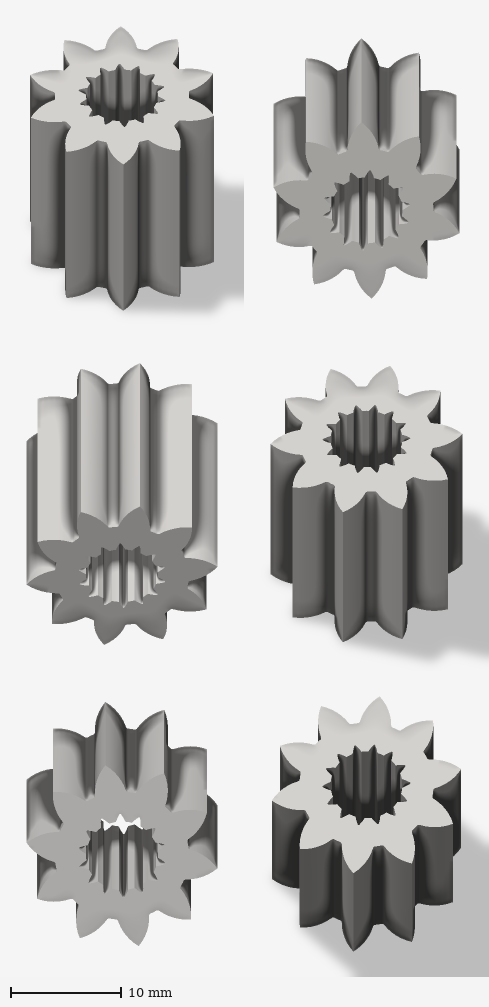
import cadquery as cq
import math

length = 19.05

tooth_count = 10
tip_radius = 8.72
root_radius = 6.08
flank_mid = (7.56, 0.93)
tooth_foot_half_width = 1.45
root_fillet = 0.23

groove_count = 14
bore_radius = 3.25
groove_tip_radius = 3.98
groove_foot_half_width = 0.42
groove_flank_mid = (3.62, 0.257)
groove_shoulder = (3.9, 0.1)

overlap = 0.2
selection_tolerance = 0.002


def foot_distance(radius, half_width):
    """Distance along the axis at which a half width meets a base circle."""
    return math.sqrt(radius**2 - half_width**2)


def around_axis(solid, count, first_angle):
    """Combine equally spaced copies of a solid about Z."""
    combined = cq.Workplane("XY")
    for index in range(count):
        angle = first_angle + index * 360.0 / count
        combined = combined.add(solid.rotate((0, 0, 0), (0, 0, 1), angle))
    return combined.combine()


def mirrored(point):
    return (point[0], -point[1])


def make_tooth():
    foot = (foot_distance(root_radius, tooth_foot_half_width), tooth_foot_half_width)
    inner_end = foot[0] - overlap
    return (
        cq.Workplane("XY")
        .moveTo(inner_end, -foot[1])
        .lineTo(*mirrored(foot))
        .threePointArc(mirrored(flank_mid), (tip_radius, 0))
        .threePointArc(flank_mid, foot)
        .lineTo(inner_end, foot[1])
        .close()
        .extrude(length)
    )


def make_groove():
    foot = (foot_distance(bore_radius, groove_foot_half_width), groove_foot_half_width)
    inner_end = foot[0] - overlap
    return (
        cq.Workplane("XY")
        .moveTo(inner_end, -foot[1])
        .lineTo(*mirrored(foot))
        .threePointArc(mirrored(groove_flank_mid), mirrored(groove_shoulder))
        .threePointArc((groove_tip_radius, 0), groove_shoulder)
        .threePointArc(groove_flank_mid, foot)
        .lineTo(inner_end, foot[1])
        .close()
        .extrude(length)
    )


def on_root_circle(edge):
    center = edge.Center()
    return abs(math.hypot(center.x, center.y) - root_radius) < selection_tolerance


teeth = around_axis(make_tooth(), tooth_count, 90.0)
gear = cq.Workplane("XY").circle(root_radius).extrude(length).union(teeth)
root_edges = [edge for edge in gear.edges("|Z").vals() if on_root_circle(edge)]
gear = gear.newObject(root_edges).fillet(root_fillet)

bore = cq.Workplane("XY").circle(bore_radius).extrude(length)
grooves = around_axis(make_groove(), groove_count, 0.0)
result = gear.cut(bore.union(grooves))